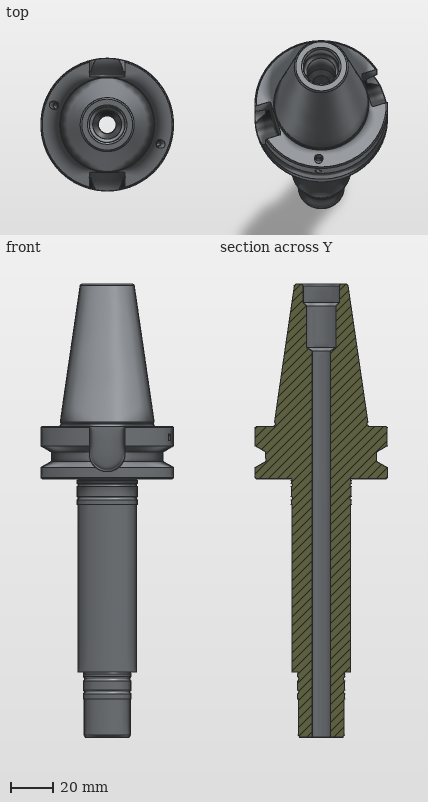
import cadquery as cq
import math

TOTAL_LENGTH = 215.0

TAPER_RATIO = 7 / 24
TAPER_LENGTH = 65.3
TAPER_LARGE_RADIUS = 44.5 / 2
TAPER_TOP_RADIUS = TAPER_LARGE_RADIUS - TAPER_LENGTH * TAPER_RATIO / 2
TAPER_BOTTOM_Z = TOTAL_LENGTH - TAPER_LENGTH
TOP_CHAMFER = 0.6
NECK_RADIUS = 21.7
NECK_Z = 148.5
NECK_FOOT_RADIUS = 22.5

FLANGE_RADIUS = 63.0 / 2
FLANGE_TOP_Z = 147.5
FLANGE_BOTTOM_Z = 122.5
FLANGE_CHAMFER = 0.6
GROOVE_TOP_Z = 138.2
GROOVE_BOTTOM_Z = 127.9
GROOVE_RADIUS = 26.5
GROOVE_SIDE_ANGLE = math.radians(30)
GROOVE_SIDE_HEIGHT = (FLANGE_RADIUS - GROOVE_RADIUS) * math.tan(GROOVE_SIDE_ANGLE)

SLOT_RADIUS = 17.0 / 2
SLOT_FLOOR_Y = 22.5
SLOT_BOTTOM_Z = 126.0
SLOT_FLOOR_FILLET = 0.9

COLLAR_GROOVE_DEPTH = 0.54
SHANK_RADIUS = 28.0 / 2
SHANK_COLLAR_RADIUS = 28.5 / 2
SHANK_COLLARS = [(121.6, 120.3), (118.8, 114.1), (112.6, 110.5)]
SHANK_BOTTOM_Z = 31.0
NOSE_RADIUS = 22.0 / 2
NOSE_COLLAR_RADIUS = 22.5 / 2
NOSE_COLLARS = [(30.0, 28.8), (26.6, 22.3), (20.6, 18.3)]
NOSE_CHAMFER_RADIAL = 0.6
NOSE_CHAMFER_HEIGHT = 1.0

THROUGH_RADIUS = 8.4 / 2
THREAD_RADIUS = 13.8 / 2
THREAD_DEPTH = 30.0
COUNTERBORE_RADIUS = 17.0 / 2
COUNTERBORE_DEPTH = 8.8
BORE_CHAMFER = 0.9
DRILL_POINT_HALF_ANGLE = math.radians(59)

FACE_HOLE_RADIUS = 3.9 / 2
FACE_HOLE_DEPTH = 8.5
FACE_HOLE_TILT = 30
FACE_HOLE_CIRCLE_RADIUS = 26.9
CROSS_HOLE_RADIUS = 3.2 / 2
CROSS_HOLE_Z = 142.3
HOLE_ANGLES = [160, 340]


def add_collars(outline, collars, collar_radius, root_radius):
    """Continue the outline down a row of collars with rounded grooves between them."""
    groove_radius = collar_radius - COLLAR_GROOVE_DEPTH
    outline = outline.lineTo(collar_radius, collars[0][0]).lineTo(collar_radius, collars[0][1])
    for (_, groove_top), (groove_bottom, collar_bottom) in zip(collars, collars[1:]):
        groove_middle = (groove_top + groove_bottom) / 2
        outline = outline.threePointArc((groove_radius, groove_middle), (collar_radius, groove_bottom))
        outline = outline.lineTo(collar_radius, collar_bottom)
    return outline.lineTo(root_radius, collars[-1][1])


def turned_body():
    outline = (
        cq.Workplane("XZ")
        .moveTo(0, TOTAL_LENGTH)
        .lineTo(TAPER_TOP_RADIUS - TOP_CHAMFER, TOTAL_LENGTH)
        .lineTo(TAPER_TOP_RADIUS + TOP_CHAMFER * TAPER_RATIO / 2, TOTAL_LENGTH - TOP_CHAMFER)
        .lineTo(TAPER_LARGE_RADIUS, TAPER_BOTTOM_Z)
        .lineTo(NECK_RADIUS, NECK_Z)
        .lineTo(NECK_FOOT_RADIUS, FLANGE_TOP_Z)
        .lineTo(FLANGE_RADIUS - FLANGE_CHAMFER, FLANGE_TOP_Z)
        .lineTo(FLANGE_RADIUS, FLANGE_TOP_Z - FLANGE_CHAMFER)
        .lineTo(FLANGE_RADIUS, GROOVE_TOP_Z)
        .lineTo(GROOVE_RADIUS, GROOVE_TOP_Z - GROOVE_SIDE_HEIGHT)
        .lineTo(GROOVE_RADIUS, GROOVE_BOTTOM_Z + GROOVE_SIDE_HEIGHT)
        .lineTo(FLANGE_RADIUS, GROOVE_BOTTOM_Z)
        .lineTo(FLANGE_RADIUS, FLANGE_BOTTOM_Z + FLANGE_CHAMFER)
        .lineTo(FLANGE_RADIUS - FLANGE_CHAMFER, FLANGE_BOTTOM_Z)
        .lineTo(SHANK_RADIUS, FLANGE_BOTTOM_Z)
        .lineTo(SHANK_RADIUS, SHANK_COLLARS[0][0])
    )
    outline = add_collars(outline, SHANK_COLLARS, SHANK_COLLAR_RADIUS, SHANK_RADIUS)
    outline = outline.lineTo(SHANK_RADIUS, SHANK_BOTTOM_Z).lineTo(NOSE_RADIUS, SHANK_BOTTOM_Z)
    outline = add_collars(outline, NOSE_COLLARS, NOSE_COLLAR_RADIUS, NOSE_RADIUS)
    outline = (
        outline.lineTo(NOSE_RADIUS, NOSE_CHAMFER_HEIGHT)
        .lineTo(NOSE_RADIUS - NOSE_CHAMFER_RADIAL, 0)
        .lineTo(0, 0)
        .close()
    )
    return outline.revolve(360, (0, 0, 0), (0, 1, 0))


def axial_bore():
    counterbore_z = TOTAL_LENGTH - COUNTERBORE_DEPTH
    thread_top_z = counterbore_z - (COUNTERBORE_RADIUS - THREAD_RADIUS)
    thread_bottom_z = TOTAL_LENGTH - THREAD_DEPTH
    drill_point = (THREAD_RADIUS - THROUGH_RADIUS) / math.tan(DRILL_POINT_HALF_ANGLE)
    return (
        cq.Workplane("XZ")
        .moveTo(0, 0)
        .lineTo(THROUGH_RADIUS, 0)
        .lineTo(THROUGH_RADIUS, thread_bottom_z - drill_point)
        .lineTo(THREAD_RADIUS, thread_bottom_z)
        .lineTo(THREAD_RADIUS, thread_top_z)
        .lineTo(COUNTERBORE_RADIUS, counterbore_z)
        .lineTo(COUNTERBORE_RADIUS, TOTAL_LENGTH - BORE_CHAMFER)
        .lineTo(COUNTERBORE_RADIUS + BORE_CHAMFER, TOTAL_LENGTH)
        .lineTo(0, TOTAL_LENGTH)
        .close()
        .revolve(360, (0, 0, 0), (0, 1, 0))
    )


def drive_slot():
    """Round-bottomed slot on the -Y side, with a fillet around its flat floor."""
    round_center_z = SLOT_BOTTOM_Z + SLOT_RADIUS
    return (
        cq.Workplane("XZ", origin=(0, -SLOT_FLOOR_Y, 0))
        .moveTo(-SLOT_RADIUS, TAPER_BOTTOM_Z)
        .lineTo(-SLOT_RADIUS, round_center_z)
        .threePointArc((0, SLOT_BOTTOM_Z), (SLOT_RADIUS, round_center_z))
        .lineTo(SLOT_RADIUS, TAPER_BOTTOM_Z)
        .close()
        .extrude(FLANGE_RADIUS - SLOT_FLOOR_Y)
        .faces(">Y")
        .edges("not >Z")
        .fillet(SLOT_FLOOR_FILLET)
    )


def flange_holes():
    """Slanted face hole and the cross hole that meets it, placed on the +X axis."""
    overshoot = 2 * FACE_HOLE_RADIUS
    face_hole = (
        cq.Workplane("XY")
        .workplane(offset=-FACE_HOLE_DEPTH)
        .circle(FACE_HOLE_RADIUS)
        .extrude(FACE_HOLE_DEPTH + overshoot)
        .rotate((0, 0, 0), (0, 1, 0), FACE_HOLE_TILT)
        .translate((FACE_HOLE_CIRCLE_RADIUS, 0, FLANGE_TOP_Z))
    )
    drop = FLANGE_TOP_Z - CROSS_HOLE_Z
    meeting_radius = FACE_HOLE_CIRCLE_RADIUS - drop * math.tan(math.radians(FACE_HOLE_TILT))
    cross_hole = (
        cq.Workplane("YZ", origin=(meeting_radius, 0, CROSS_HOLE_Z))
        .circle(CROSS_HOLE_RADIUS)
        .extrude(FLANGE_RADIUS - meeting_radius)
    )
    return face_hole.union(cross_hole)


result = turned_body().cut(axial_bore())
for slot_angle in (0, 180):
    result = result.cut(drive_slot().rotate((0, 0, 0), (0, 0, 1), slot_angle))
for hole_angle in HOLE_ANGLES:
    result = result.cut(flange_holes().rotate((0, 0, 0), (0, 0, 1), hole_angle))